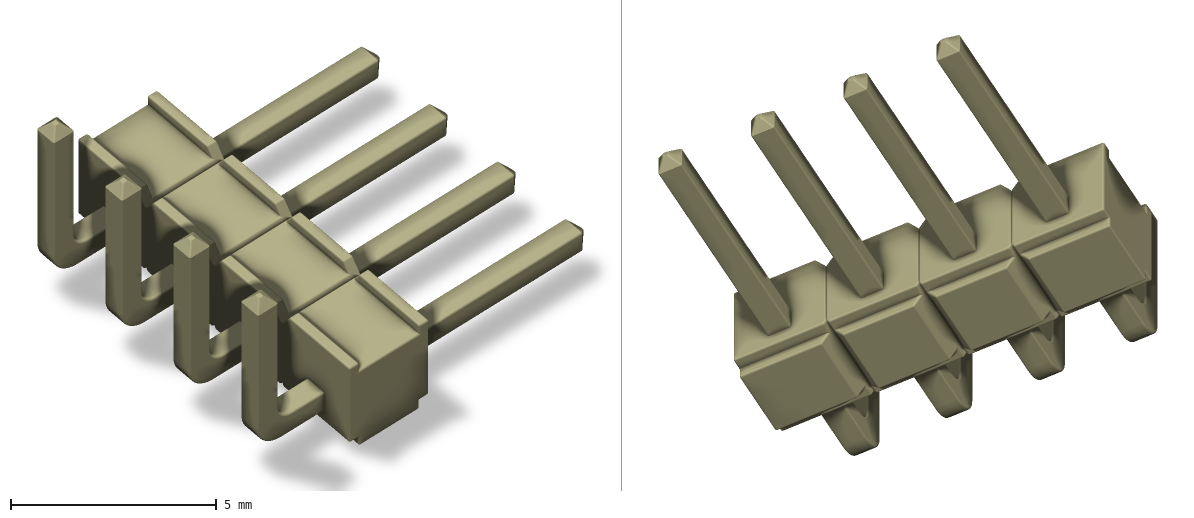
import cadquery as cq

position_count = 4
row_length = 10.16
pitch = row_length / position_count

edge_radius = 0.05

block_depth = 2.54
block_height = 2.92
wall_thickness = 0.31
channel_depth = 0.3
foot_height = 0.31
half_block_depth = block_depth / 2
half_channel = half_block_depth - wall_thickness
channel_floor_z = block_height - channel_depth

notch_half_width = 0.3
notch_depth = 0.4

pin_width = 0.65
pin_axis_z = 1.01
pin_rear_y = 7.23
pin_front_y = -3.38
pin_top_z = 5.71
pin_bend_inner_radius = 0.47
pin_bend_outer_radius = 0.75
pin_point_length = 0.25
pin_point_width = 0.15
half_pin = pin_width / 2
bar_rear_y = pin_rear_y - pin_point_length
bar_top_z = pin_top_z - pin_point_length

tolerance = 0.001


def matches_any(value, targets):
    """True when the value equals one of the targets."""
    return any(abs(value - target) < tolerance for target in targets)


def make_profile():
    """Extrusion along X: foot below, open channel above between two walls."""
    return (
        cq.Workplane("YZ", origin=(-pitch / 2, 0, 0))
        .moveTo(-half_channel, 0)
        .lineTo(half_channel, 0)
        .lineTo(half_channel, foot_height)
        .lineTo(half_block_depth, foot_height)
        .lineTo(half_block_depth, block_height)
        .lineTo(half_channel, block_height)
        .lineTo(half_channel, channel_floor_z)
        .lineTo(-half_channel, channel_floor_z)
        .lineTo(-half_channel, block_height)
        .lineTo(-half_block_depth, block_height)
        .lineTo(-half_block_depth, foot_height)
        .lineTo(-half_channel, foot_height)
        .close()
        .extrude(pitch)
    )


def make_notch(side, edge_z, inward):
    """Wedge along Y that bevels one end of a block at its top or bottom."""
    end_x = side * pitch / 2
    return (
        cq.Workplane("XZ", origin=(0, half_block_depth, 0))
        .moveTo(end_x, edge_z)
        .lineTo(end_x - side * notch_half_width, edge_z)
        .lineTo(end_x, edge_z + inward * notch_depth)
        .close()
        .extrude(block_depth)
    )


def is_inner_corner(edge):
    """True for the concave edges under the walls and beside the foot."""
    middle = edge.Center()
    return matches_any(abs(middle.y), [half_channel]) and matches_any(middle.z, [foot_height, channel_floor_z])


def make_block(index):
    """Rounded block of one position; its ends are notched only where a neighbour stands."""
    neighbour_sides = []
    if index > 0:
        neighbour_sides.append(-1)
    if index < position_count - 1:
        neighbour_sides.append(1)

    block = make_profile()
    for side in neighbour_sides:
        block = block.cut(make_notch(side, 0, 1))
        block = block.cut(make_notch(side, block_height, -1))

    outer_edges = [edge for edge in block.edges().vals() if not is_inner_corner(edge)]
    return block.newObject(outer_edges).fillet(edge_radius)


def make_bar():
    """L-shaped square bar running along Y and bent up to Z."""
    lower_z = pin_axis_z - half_pin
    upper_z = pin_axis_z + half_pin
    upright_rear_y = pin_front_y + pin_width
    return (
        cq.Workplane("YZ", origin=(-half_pin, 0, 0))
        .moveTo(bar_rear_y, lower_z)
        .lineTo(pin_front_y + pin_bend_outer_radius, lower_z)
        .radiusArc((pin_front_y, lower_z + pin_bend_outer_radius), pin_bend_outer_radius)
        .lineTo(pin_front_y, bar_top_z)
        .lineTo(upright_rear_y, bar_top_z)
        .lineTo(upright_rear_y, upper_z + pin_bend_inner_radius)
        .radiusArc((upright_rear_y + pin_bend_inner_radius, upper_z), -pin_bend_inner_radius)
        .lineTo(bar_rear_y, upper_z)
        .close()
        .extrude(pin_width)
    )


def make_point(base_center, direction):
    """Blunt pyramid that stands on a square pin end and narrows along the direction."""
    return (
        cq.Workplane(cq.Plane(base_center, (1, 0, 0), direction))
        .rect(pin_width, pin_width)
        .workplane(offset=pin_point_length)
        .rect(pin_point_width, pin_point_width)
        .loft(ruled=True)
    )


def is_long_edge(edge):
    """True for edges along the bar and up the pyramids, not across them."""
    middle = edge.Center()
    runs_across = matches_any(middle.x, [0])
    at_rear_end = matches_any(middle.y, [bar_rear_y, pin_rear_y])
    at_top_end = matches_any(middle.z, [bar_top_z, pin_top_z])
    return not (runs_across or at_rear_end or at_top_end)


def make_pin():
    """Bent bar with a point on each end and rounded long edges."""
    rear_point = make_point((0, bar_rear_y, pin_axis_z), (0, 1, 0))
    top_point = make_point((0, pin_front_y + half_pin, bar_top_z), (0, 0, 1))
    pin = make_bar().union(rear_point).union(top_point)

    long_edges = [edge for edge in pin.edges().vals() if is_long_edge(edge)]
    return pin.newObject(long_edges).fillet(edge_radius)


def make_position(index):
    """One header position: block and pin as a single solid, placed in the row."""
    row_x = (index - (position_count - 1) / 2) * pitch
    return make_block(index).union(make_pin()).translate((row_x, 0, 0))


positions = [make_position(index) for index in range(position_count)]

result = cq.Compound.makeCompound([position.val() for position in positions])